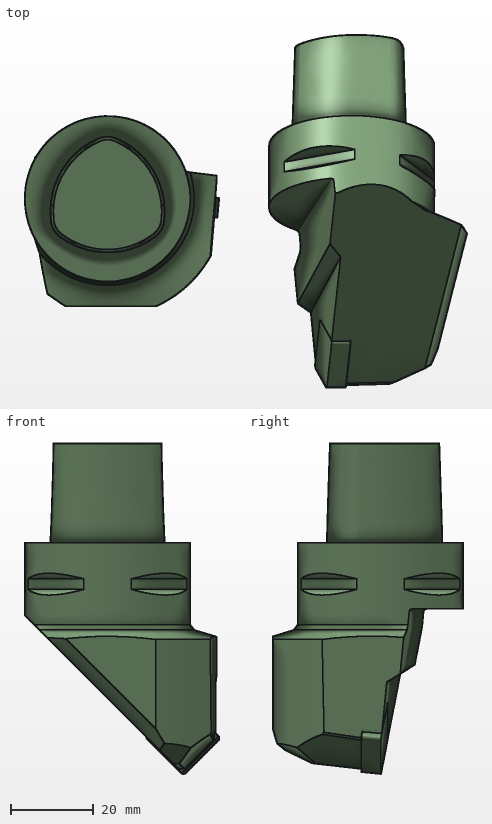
import cadquery as cq
import math


shank_length = 24.0
lobe_reach = 15.0
side_reach = 13.0
lobe_radius = 5.6
shank_inset = 0.75
lobe_count = 3
lobe_direction = 90

flange_radius = 20.0
flange_thickness = 16.0
neck_end = 19.85
flare_width = 0.95
flare_height = 1.2

groove_depth_below_face = 10.0
groove_floor_height = 2.5
groove_floor_distance = 17.6
groove_wall_angle = 30.0
groove_cutter_reach = flange_radius + 5.0
groove_angles = [45, 135, 225, 315]

head_radius = 28.5
head_bottom = 60.0
shoulder_slope = 17.0
front_flat_y = -26.0
side_face_point = (25.93, 0, -22.7)
side_face_angle = 4.7
side_face_lean = 0.55
flank_x = -37.5
flank_chamfer = 3.0

rake_angle = 7.8
upper_rake_point = (-18.1, 10.26, -19.4)
step_lower_edge = (0, 4.86, -31.6)
step_angle = 32.0
root_fillet = 0.8
insert_side = 12.7
insert_thickness = 4.76
insert_nose_radius = 0.8
insert_tip = (18.35, 0.1, -56.19)

end_relief_angle = 9.2
end_relief_point = (18.55, -4.7, -54.65)
tip_flat_angle = 6.5
tip_flat_point = (17.2, -4.9, -54.6)
corner_flat_point = (24.85, -14.3, -46.0)
heel_point = (15.9, -16.2, -53.4)
heel_normal = (0.26, -0.52, -0.81)

along_flank = cq.Vector(1, 0, -1).normalized()
across_flank = cq.Vector(1, 0, 1).normalized()
x_axis = cq.Vector(1, 0, 0)
y_axis = cq.Vector(0, 1, 0)
z_axis = cq.Vector(0, 0, 1)
cutter_size = 200.0


def outside(point, normal):
    """Block filling the space on the side of a plane that its normal points to."""
    plane = cq.Plane(origin=point, normal=normal)
    return cq.Workplane(plane).rect(cutter_size, cutter_size).extrude(cutter_size)


def tilted(first, second, angle):
    """Direction of the first vector, turned by an angle toward the second."""
    a = math.radians(angle)
    return first * math.cos(a) + second * math.sin(a)


def polar(radius, angle):
    """Point at a radius and angle from the shank axis."""
    return (radius * math.cos(math.radians(angle)), radius * math.sin(math.radians(angle)))


rake_normal = tilted(y_axis, along_flank, rake_angle)


def make_shank():
    """Tapered three-lobed polygon made of tangent arcs."""
    lobe_center = lobe_reach - lobe_radius
    side_radius = (
        (side_reach**2 - side_reach * lobe_center + lobe_center**2 - lobe_radius**2)
        / (2 * side_reach - lobe_center - 2 * lobe_radius)
    )
    side_center = side_radius - side_reach
    half_side = math.degrees(math.asin(
        lobe_center * math.sin(math.radians(180 / lobe_count)) / (side_radius - lobe_radius)
    ))

    def side_point(middle, offset):
        center_x, center_y = polar(side_center, middle + 180)
        x, y = polar(side_radius, middle + offset)
        return (center_x + x, center_y + y)

    step = 360 / lobe_count
    first_side = lobe_direction - step / 2
    outline = cq.Workplane("XY").moveTo(*side_point(first_side, -half_side))
    for i in range(lobe_count):
        side = first_side + i * step
        outline = outline.threePointArc(side_point(side, 0), side_point(side, half_side))
        outline = outline.threePointArc(
            polar(lobe_reach, side + step / 2), side_point(side + step, -half_side)
        )
    taper = math.degrees(math.atan(shank_inset / shank_length))
    return outline.close().extrude(shank_length, taper=taper)


def make_groove(angle):
    """Trapezoid groove across the flange rim, opening outward."""
    depth = groove_cutter_reach - groove_floor_distance
    floor_half = groove_floor_height / 2
    mouth_half = floor_half + depth * math.tan(math.radians(groove_wall_angle))
    groove = (
        cq.Workplane("XZ")
        .polyline([
            (groove_floor_distance, -floor_half),
            (groove_cutter_reach, -mouth_half),
            (groove_cutter_reach, mouth_half),
            (groove_floor_distance, floor_half),
        ])
        .close()
        .extrude(flange_radius, both=True)
    )
    return groove.translate((0, 0, -groove_depth_below_face)).rotate((0, 0, 0), (0, 0, 1), angle)


def make_turned_blank():
    """Flange and neck flaring into a conical shoulder and a cylinder."""
    shoulder_radius = flange_radius + flare_width
    shoulder_z = -(neck_end + flare_height)
    shoulder_drop = (head_radius - shoulder_radius) * math.tan(math.radians(shoulder_slope))
    return (
        cq.Workplane("XZ")
        .lineTo(flange_radius, 0)
        .lineTo(flange_radius, -neck_end)
        .lineTo(shoulder_radius, shoulder_z)
        .lineTo(head_radius, shoulder_z - shoulder_drop)
        .lineTo(head_radius, -head_bottom)
        .lineTo(0, -head_bottom)
        .close()
        .revolve(360, (0, 0, 0), (0, 1, 0))
    )


def make_upper_rake_cutter():
    """Space behind the upper rake face and under the flange, rounded where the two meet."""
    flange_underside = (0, 0, -flange_thickness)
    cutter = outside(upper_rake_point, rake_normal).cut(outside(flange_underside, z_axis))
    root_edge = cq.selectors.ParallelDirSelector(rake_normal.cross(z_axis))
    return cutter.edges(root_edge).edges(">Z").edges("<Y").fillet(root_fillet)


def make_head():
    """Flange and head in one, trimmed by the flat faces and the gripper grooves."""
    head = make_turned_blank()
    for angle in groove_angles:
        head = head.cut(make_groove(angle))

    head = head.cut(outside((0, front_flat_y, 0), -y_axis))
    side_normal = tilted(tilted(x_axis, -y_axis, side_face_angle), z_axis, side_face_lean)
    head = head.cut(outside(side_face_point, side_normal))
    head = head.cut(outside((flank_x, 0, 0), -across_flank))

    chamfer_start = (flank_x, front_flat_y + flank_chamfer, 0)
    head = head.cut(outside(chamfer_start, -across_flank - y_axis))

    end_normal = tilted(along_flank, -y_axis, end_relief_angle)
    head = head.cut(outside(end_relief_point, end_normal))
    head = head.cut(outside(corner_flat_point, side_normal + end_normal))
    head = head.cut(outside(tip_flat_point, tilted(-z_axis, -y_axis, tip_flat_angle)))
    head = head.cut(outside(heel_point, heel_normal))

    step_normal = tilted(z_axis, -y_axis, step_angle)
    lower_rake = outside(insert_tip, rake_normal).cut(outside(step_lower_edge, step_normal))
    return head.cut(lower_rake).cut(make_upper_rake_cutter())


def make_insert():
    """Square plate with rounded corners, its top level with the lower rake face."""
    plane = cq.Plane(origin=insert_tip, xDir=across_flank, normal=rake_normal)
    return (
        cq.Workplane(plane)
        .center(insert_side / 2, -insert_side / 2)
        .rect(insert_side, insert_side)
        .extrude(-insert_thickness)
        .edges(cq.selectors.ParallelDirSelector(rake_normal))
        .fillet(insert_nose_radius)
    )


insert = make_insert()
holder = make_head().union(make_shank()).cut(insert)

result = cq.Compound.makeCompound([holder.solids().val(), insert.solids().val()])